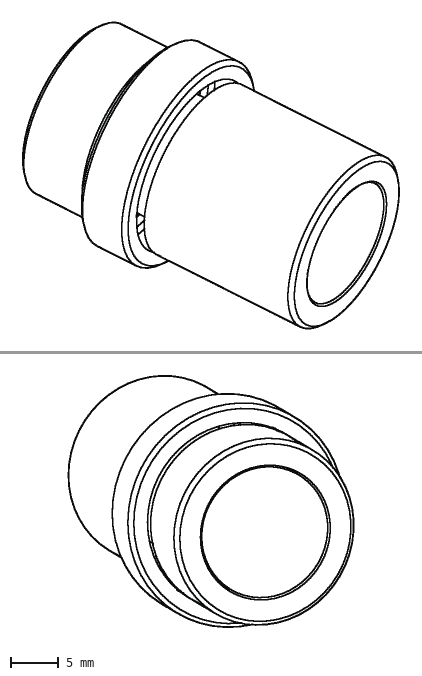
import cadquery as cq

length = 35.0
body_diameter = 20.0
collar_diameter = 24.0
bore_diameter = 14.0

collar_start = 9.0
collar_width = 6.02
collar_end = collar_start + collar_width

edge_chamfer = 0.5
bore_chamfer = 0.2
groove_radius = 0.5


def cylinder_x(diameter, start, end):
    """Solid cylinder along X between two positions."""
    return cq.Workplane("YZ").workplane(offset=start).circle(diameter / 2).extrude(end - start)


def relief_groove(center_x):
    """Ring of round section that cuts a half-round groove into the body."""
    return (
        cq.Workplane("XY")
        .center(center_x, body_diameter / 2)
        .circle(groove_radius)
        .revolve(360, (0, -body_diameter / 2, 0), (1, -body_diameter / 2, 0))
    )


body = cylinder_x(body_diameter, 0, length).faces("<X or >X").chamfer(edge_chamfer)
for groove_center in (collar_start - groove_radius, collar_end + groove_radius):
    body = body.cut(relief_groove(groove_center))

collar = cylinder_x(collar_diameter, collar_start, collar_end).faces("<X or >X").chamfer(edge_chamfer)

bore = cylinder_x(bore_diameter, 0, length)
result = body.union(collar).cut(bore)
bore_mouths = cq.selectors.RadiusNthSelector(0)
result = result.faces("<X or >X").edges(bore_mouths).chamfer(bore_chamfer)